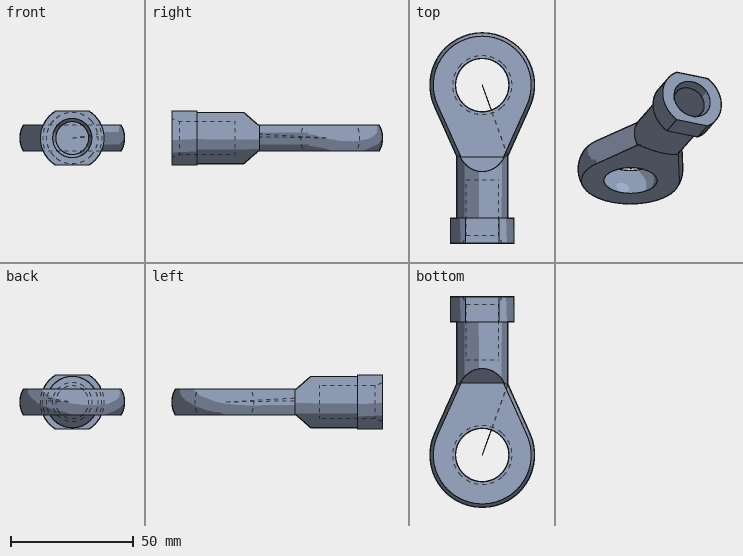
import cadquery as cq
import math

total_length = 86.0
eye_radius = 21.4
plate_thickness = 10.7
seat_mouth_diameter = 21.7
stem_diameter = 21.0
neck_distance = 28.9
neck_land_length = 0.4
neck_slope_length = 5.9
collar_diameter = 26.0
collar_across_flats = 22.1
collar_length = 10.3
bore_diameter = 13.4
bore_depth = 25.8
countersink_diameter = 16.0
countersink_depth = 3.2

half_plate = plate_thickness / 2
stem_radius = stem_diameter / 2
shank_end_y = eye_radius - total_length
neck_y = -neck_distance
edge_bulge = stem_radius - math.sqrt(stem_radius**2 - half_plate**2)
seat_radius = math.hypot(seat_mouth_diameter / 2, half_plate)

neck_corner_reach = math.hypot(stem_radius, neck_distance)
tangent_angle = math.acos(eye_radius / neck_corner_reach) - math.atan2(neck_distance, stem_radius)


def rounded_edge_section(workplane):
    """Half section of the plate: local X is radial, local Y is the thickness."""
    rim = eye_radius - edge_bulge
    return (
        workplane.moveTo(0, -half_plate)
        .lineTo(rim, -half_plate)
        .threePointArc((eye_radius, 0), (rim, half_plate))
        .lineTo(0, half_plate)
        .close()
    )


def shank_cylinder(diameter, start_y, length):
    """Cylinder along +Y from start_y."""
    plane = cq.Plane(origin=(0, start_y, 0), xDir=(1, 0, 0), normal=(0, 1, 0))
    return cq.Workplane(plane).circle(diameter / 2).extrude(length)


def make_eye():
    return rounded_edge_section(cq.Workplane("XZ")).revolve(360, (0, 0, 0), (0, 1, 0))


def make_tapered_neck():
    """Straight sides that leave the eye at a tangent and end at the stem."""
    radial = (math.cos(tangent_angle), math.sin(tangent_angle), 0)
    along_side = (math.sin(tangent_angle), -math.cos(tangent_angle), 0)
    section_plane = cq.Plane(origin=(0, 0, 0), xDir=radial, normal=along_side)
    side = rounded_edge_section(cq.Workplane(section_plane)).extrude(2 * neck_distance)
    right_half = cq.Workplane("XY").box(
        eye_radius, neck_distance, plate_thickness, centered=(False, False, True)
    ).translate((0, neck_y, 0))
    side = side.intersect(right_half)
    return side.union(side.mirror("YZ"))


def make_stem():
    """Round stem whose top and bottom slope down to the plate faces."""
    stem = shank_cylinder(stem_diameter, shank_end_y, neck_y - shank_end_y)
    land_end_y = neck_y - neck_land_length
    slope_end_y = land_end_y - neck_slope_length
    side_outline = (
        cq.Workplane("YZ")
        .moveTo(shank_end_y, -stem_radius)
        .lineTo(slope_end_y, -stem_radius)
        .lineTo(land_end_y, -half_plate)
        .lineTo(neck_y, -half_plate)
        .lineTo(neck_y, half_plate)
        .lineTo(land_end_y, half_plate)
        .lineTo(slope_end_y, stem_radius)
        .lineTo(shank_end_y, stem_radius)
        .close()
        .extrude(stem_radius, both=True)
    )
    return stem.intersect(side_outline)


def make_collar():
    collar = shank_cylinder(collar_diameter, shank_end_y, collar_length)
    flats = cq.Workplane("XY").box(
        collar_diameter, collar_length, collar_across_flats
    ).translate((0, shank_end_y + collar_length / 2, 0))
    return collar.intersect(flats)


def make_bore():
    """Blind bore with a steep conical countersink at the shank end."""
    bore_radius = bore_diameter / 2
    countersink_end_y = shank_end_y + countersink_depth
    bore_end_y = shank_end_y + bore_depth
    return (
        cq.Workplane("XY")
        .moveTo(0, shank_end_y)
        .lineTo(countersink_diameter / 2, shank_end_y)
        .lineTo(bore_radius, countersink_end_y)
        .lineTo(bore_radius, bore_end_y)
        .lineTo(0, bore_end_y)
        .close()
        .revolve(360, (0, 0, 0), (0, 1, 0))
    )


body = make_eye().union(make_tapered_neck()).union(make_stem()).union(make_collar())
spherical_seat = cq.Workplane("XY").sphere(seat_radius)
result = body.cut(spherical_seat).cut(make_bore())